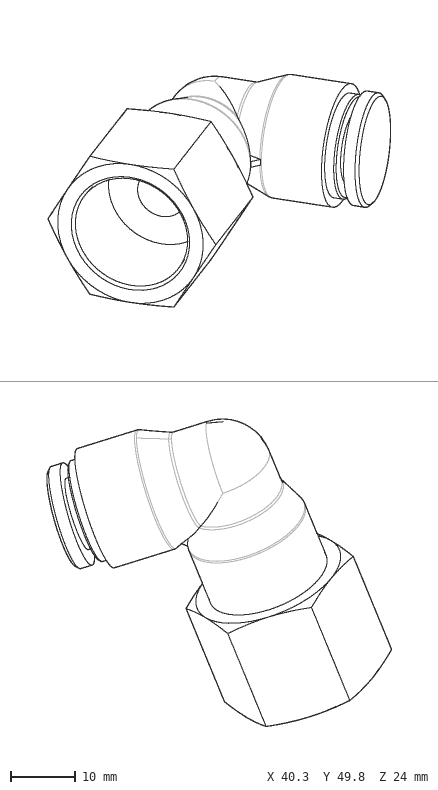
import cadquery as cq
import math


throat_radius = 7.75
socket_radius = 19.5 / 2
cone_start = 5.9
cone_end = 10.95
arm_length = 21.0
throat_blend_radius = 1.2
socket_blend_radius = 0.8
rib_thickness = 1.0

nut_flats = 24.0
nut_length = 19.0
nut_corners = nut_flats / math.cos(math.pi / 6)
nut_chamfer = 0.65
bore_mouth_diameter = 18.5
bore_depth = 14.92
bore_taper = 1 / 16
bore_floor_diameter = bore_mouth_diameter - bore_taper * bore_depth
bore_lead_diameter = 19.5
bore_lead_depth = (bore_lead_diameter - bore_mouth_diameter) / 2
nut_floor_thickness = nut_length - bore_depth
spigot_diameter = 8.0

collar_diameter = 16.5
collar_length = 1.8
collar_chamfer = 0.3

neck_diameter = 11.7
neck_length = 1.25
flange_size_y = 16.0
flange_size_z = 18.5
flange_thickness = 2.4
flange_chamfer = 0.5


def plane_facing_x(x):
    """Plane at x facing +X, with its local axes along Y and Z."""
    return cq.Workplane("YZ", origin=(x, 0, 0))


def make_arm():
    """Arm along +X: throat, cone and socket, with rounded cone ends."""
    profile = (
        cq.Workplane("XY")
        .moveTo(0, 0)
        .lineTo(0, throat_radius)
        .lineTo(cone_start, throat_radius)
        .lineTo(cone_end, socket_radius)
        .lineTo(arm_length, socket_radius)
        .lineTo(arm_length, 0)
        .close()
    )
    arm = profile.revolve(360, (0, 0, 0), (1, 0, 0))
    throat_edge = cq.selectors.NearestToPointSelector((cone_start, 0, 0))
    socket_edge = cq.selectors.NearestToPointSelector((cone_end, 0, 0))
    arm = arm.edges("%CIRCLE").edges(throat_edge).fillet(throat_blend_radius)
    return arm.edges("%CIRCLE").edges(socket_edge).fillet(socket_blend_radius)


def make_rib():
    """Thin web that fills the inner corner between the two cones."""
    return (
        cq.Workplane("XY")
        .polyline([(0, 0), (cone_end, -socket_radius), (socket_radius, -cone_end)])
        .close()
        .extrude(rib_thickness / 2, both=True)
    )


def make_elbow():
    """Two equal arms joined by a ball corner, with a spigot that plugs the nut floor."""
    arm = make_arm()
    corner = cq.Workplane("XY").sphere(throat_radius)
    spigot = (
        cq.Workplane("XZ", origin=(0, -arm_length, 0))
        .circle(spigot_diameter / 2)
        .extrude(nut_floor_thickness)
    )
    return (
        arm.union(arm.rotate((0, 0, 0), (0, 0, 1), -90))
        .union(corner)
        .union(make_rib())
        .union(spigot)
    )


def make_nut_envelope():
    """Round blank, coned at both ends, that trims the corners of the hexagon."""
    end_radius = nut_flats / 2
    corner_radius = nut_corners / 2
    return (
        cq.Workplane("XY")
        .moveTo(0, 0)
        .lineTo(end_radius, 0)
        .lineTo(corner_radius, -nut_chamfer)
        .lineTo(corner_radius, nut_chamfer - nut_length)
        .lineTo(end_radius, -nut_length)
        .lineTo(0, -nut_length)
        .close()
        .revolve(360, (0, 0, 0), (0, 1, 0))
    )


def make_nut_bore():
    """Tapered bore with a lead-in chamfer at its mouth."""
    lead_end = bore_lead_depth - nut_length
    return (
        cq.Workplane("XY")
        .moveTo(0, -nut_length)
        .lineTo(bore_lead_diameter / 2, -nut_length)
        .lineTo(bore_mouth_diameter / 2, lead_end)
        .lineTo(bore_floor_diameter / 2, -nut_floor_thickness)
        .lineTo(0, -nut_floor_thickness)
        .close()
        .revolve(360, (0, 0, 0), (0, 1, 0))
    )


def make_nut():
    """Hexagonal nut with corners on the X axis and a hole for the spigot in its floor."""
    hexagon = cq.Workplane("XZ").polygon(6, nut_corners).extrude(nut_length)
    spigot_hole = cq.Workplane("XZ").circle(spigot_diameter / 2).extrude(nut_floor_thickness)
    nut = hexagon.intersect(make_nut_envelope()).cut(make_nut_bore()).cut(spigot_hole)
    return nut.translate((0, -arm_length, 0))


def make_collar():
    """Disc on the socket end, chamfered on its outer rim."""
    disc = plane_facing_x(arm_length).circle(collar_diameter / 2).extrude(collar_length)
    return disc.faces(">X").chamfer(collar_chamfer)


def make_release_sleeve():
    """Neck standing on the collar, topped by the oval flange with a chamfered rim."""
    neck_start = arm_length + collar_length
    flange_start = neck_start + neck_length
    neck = plane_facing_x(neck_start).circle(neck_diameter / 2).extrude(neck_length)
    flange = (
        plane_facing_x(flange_start)
        .ellipse(flange_size_y / 2, flange_size_z / 2)
        .extrude(flange_thickness)
        .faces(">X")
        .chamfer(flange_chamfer)
    )
    return neck.union(flange)


elbow = make_elbow()
nut = make_nut()
collar = make_collar()
release_sleeve = make_release_sleeve()

result = cq.Compound.makeCompound([elbow.val(), nut.val(), collar.val(), release_sleeve.val()])